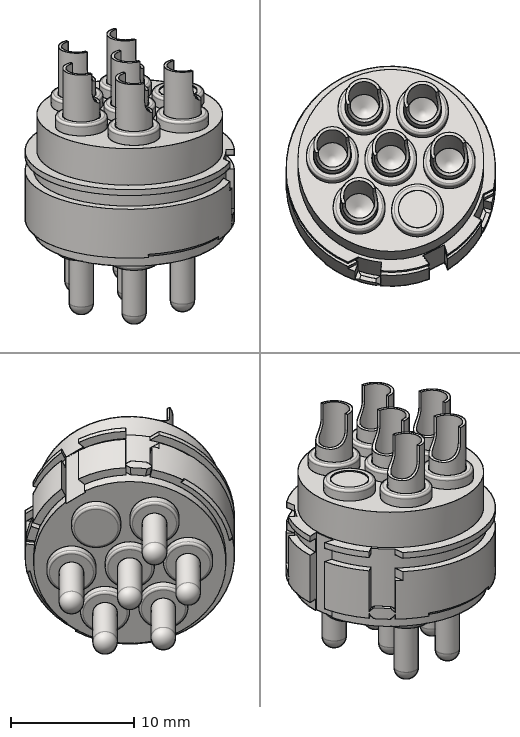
import cadquery as cq
import math

TOTAL_HEIGHT = 21.5
CUP_CUT_Z = 18.53
COLLAR_TOP_Z = 17.42
HOUSING_TOP_Z = 16.43
FLANGE_TOP_Z = 13.22
FLANGE_BOTTOM_Z = 12.7
BODY_TOP_Z = 11.5
KEYWAY_STEP_Z = 10.7
NUB_TOP_Z = 8.21
BODY_BOTTOM_Z = 7.22
CORE_BOTTOM_Z = 6.24
LOWER_COLLAR_BOTTOM_Z = 5.38

BODY_RADIUS = 17.0 / 2
CORE_RADIUS = 7.8
HOUSING_RADIUS = 7.55

CONTACT_CIRCLE_RADIUS = 4.75
CONTACT_COUNT = 6
BLANK_ANGLE = 90
COLLAR_RADIUS = 2.1
LOWER_COLLAR_RADIUS = 2.0
COLLAR_FILLET = 0.22
PIN_RADIUS = 2.0 / 2
CUP_RADIUS = 1.5
CUP_BORE_RADIUS = 1.25
CUP_BORE_FLOOR_Z = HOUSING_TOP_Z
DRILL_POINT_ANGLE = 118
COLLAR_RECESS_RADIUS = 1.55
COLLAR_RECESS_DEPTH = 0.1

NOTCH_FLOOR_Y = 7.61
NOTCH_OUTER_WIDTH = 1.63
NOTCH_FLOOR_WIDTH = 1.94

KEYWAY_ANGLE = 130.0
KEYWAY_HALF_ANGLE = 7.2
KEYWAY_LEDGE_Y = 5.3
KEYWAY_OVERLAP = 0.43
NUB_CHAMFER = 0.39
NUB_ROOT = 0.05

RELIEF_CHAMFER = 0.28
RELIEF_WIDTH = 6.88


def cylinder(radius, bottom_z, top_z, center=(0, 0)):
    height = top_z - bottom_z
    return cq.Workplane("XY", origin=(*center, bottom_z)).circle(radius).extrude(height)


def polar(radius, angle):
    turn = math.radians(angle)
    return (radius * math.cos(turn), radius * math.sin(turn))


def make_core():
    core = cylinder(CORE_RADIUS, CORE_BOTTOM_Z, FLANGE_TOP_Z)
    return core.union(cylinder(HOUSING_RADIUS, FLANGE_TOP_Z, HOUSING_TOP_Z))


def make_side_relief():
    """Triangular ring that chamfers the lower body edge, kept only near the X axis."""
    ring = (
        cq.Workplane("XZ")
        .polyline([
            (BODY_RADIUS - RELIEF_CHAMFER, BODY_BOTTOM_Z),
            (BODY_RADIUS, BODY_BOTTOM_Z),
            (BODY_RADIUS, BODY_BOTTOM_Z + RELIEF_CHAMFER),
        ])
        .close()
        .revolve(360, (0, 0), (0, 1))
    )
    sides = cq.Workplane("XY").box(3 * BODY_RADIUS, RELIEF_WIDTH, 2 * TOTAL_HEIGHT)
    return ring.intersect(sides)


def make_notch():
    """Dovetail prism, with its slanted sides carried on past the rim."""
    flare = (NOTCH_FLOOR_WIDTH - NOTCH_OUTER_WIDTH) / 2
    depth = BODY_RADIUS - NOTCH_FLOOR_Y
    floor_half = NOTCH_FLOOR_WIDTH / 2
    end_half = floor_half - 2 * flare
    end_y = NOTCH_FLOOR_Y + 2 * depth
    return (
        cq.Workplane("XY")
        .polyline([
            (-floor_half, NOTCH_FLOOR_Y),
            (floor_half, NOTCH_FLOOR_Y),
            (end_half, end_y),
            (-end_half, end_y),
        ])
        .close()
        .extrude(FLANGE_TOP_Z)
    )


def sector(inner_radius, outer_radius, bottom_z, top_z):
    """Piece of a ring, as wide as the keyway."""
    start = KEYWAY_ANGLE - KEYWAY_HALF_ANGLE
    end = KEYWAY_ANGLE + KEYWAY_HALF_ANGLE
    return (
        cq.Workplane("XY", origin=(0, 0, bottom_z))
        .moveTo(*polar(inner_radius, start))
        .lineTo(*polar(outer_radius, start))
        .threePointArc(polar(outer_radius, KEYWAY_ANGLE), polar(outer_radius, end))
        .lineTo(*polar(inner_radius, end))
        .threePointArc(polar(inner_radius, KEYWAY_ANGLE), polar(inner_radius, start))
        .close()
        .extrude(top_z - bottom_z)
    )


def make_keyway():
    """Radial slot, cut deeper than the core surface; its upper part widens to a ledge."""
    inner_radius = CORE_RADIUS - KEYWAY_OVERLAP
    outer_radius = BODY_RADIUS + KEYWAY_OVERLAP
    slot = sector(inner_radius, outer_radius, 0, TOTAL_HEIGHT)
    inner_x, inner_y = polar(inner_radius, KEYWAY_ANGLE)
    outer_x, outer_y = polar(outer_radius, KEYWAY_ANGLE + KEYWAY_HALF_ANGLE)
    far_x = -BODY_RADIUS
    widening = (
        cq.Workplane("XY", origin=(0, 0, KEYWAY_STEP_Z))
        .polyline([
            (inner_x, KEYWAY_LEDGE_Y),
            (far_x, KEYWAY_LEDGE_Y),
            (far_x, outer_y),
            (outer_x, outer_y),
            (inner_x, inner_y),
        ])
        .close()
        .extrude(TOTAL_HEIGHT)
    )
    return slot.union(widening)


def make_nub():
    """Nub with chamfered side edges above and below, and a chamfered inner top edge."""
    block = sector(CORE_RADIUS - NUB_ROOT, BODY_RADIUS, BODY_BOTTOM_Z, NUB_TOP_Z)
    side_edges = block.faces("<Z or >Z").edges("%LINE")
    inner_edge = block.faces(">Z").edges(cq.selectors.RadiusNthSelector(0))
    return side_edges.add(inner_edge).chamfer(NUB_CHAMFER)


def make_flange_and_body():
    """The two outer discs, with their reliefs and keyways, before the core joins them."""
    discs = cylinder(BODY_RADIUS, FLANGE_BOTTOM_Z, FLANGE_TOP_Z)
    discs = discs.add(cylinder(BODY_RADIUS, BODY_BOTTOM_Z, BODY_TOP_Z)).combine()
    keyway = make_keyway()
    nub = make_nub()
    discs = discs.cut(make_side_relief()).cut(keyway).cut(keyway.mirror("YZ"))
    return discs.union(nub).union(nub.mirror("YZ"))


def make_collars(center):
    upper = cylinder(COLLAR_RADIUS, HOUSING_TOP_Z, COLLAR_TOP_Z, center)
    upper = upper.faces(">Z").edges().fillet(COLLAR_FILLET)
    recess_floor_z = COLLAR_TOP_Z - COLLAR_RECESS_DEPTH
    recess = cylinder(COLLAR_RECESS_RADIUS, recess_floor_z, COLLAR_TOP_Z, center)
    lower = cylinder(LOWER_COLLAR_RADIUS, LOWER_COLLAR_BOTTOM_Z, CORE_BOTTOM_Z, center)
    lower = lower.faces("<Z").edges().fillet(COLLAR_FILLET)
    return upper.cut(recess).union(lower)


def make_pin(center):
    shank = cylinder(PIN_RADIUS, PIN_RADIUS, CORE_BOTTOM_Z, center)
    tip = cq.Workplane("XY", origin=(*center, PIN_RADIUS)).sphere(PIN_RADIUS)
    return shank.union(tip)


def make_solder_cup(center):
    """Round cup whose +Y half is cut away, down a concave arc to the cup rim."""
    cup = cylinder(CUP_RADIUS, HOUSING_TOP_Z, TOTAL_HEIGHT, center)
    arc_center_z = CUP_CUT_Z + CUP_RADIUS
    arc_reach = CUP_RADIUS * math.sqrt(0.5)
    opening = (
        cq.Workplane("YZ", origin=(center[0] - CUP_RADIUS, center[1], 0))
        .moveTo(0, TOTAL_HEIGHT)
        .lineTo(0, arc_center_z)
        .threePointArc((CUP_RADIUS - arc_reach, arc_center_z - arc_reach), (CUP_RADIUS, CUP_CUT_Z))
        .lineTo(2 * CUP_RADIUS, CUP_CUT_Z)
        .lineTo(2 * CUP_RADIUS, TOTAL_HEIGHT)
        .close()
        .extrude(2 * CUP_RADIUS)
    )
    return cup.cut(opening)


def make_cup_bore(center):
    """Drilled bore with a conical bottom."""
    point_depth = CUP_BORE_RADIUS / math.tan(math.radians(DRILL_POINT_ANGLE / 2))
    return (
        cq.Workplane("XZ", origin=(*center, 0))
        .polyline([
            (0, CUP_BORE_FLOOR_Z - point_depth),
            (CUP_BORE_RADIUS, CUP_BORE_FLOOR_Z),
            (CUP_BORE_RADIUS, TOTAL_HEIGHT),
            (0, TOTAL_HEIGHT),
        ])
        .close()
        .revolve(360, (0, 0), (0, 1))
    )


result = make_flange_and_body().union(make_core()).cut(make_notch())

blank_place = polar(CONTACT_CIRCLE_RADIUS, BLANK_ANGLE)
contact_places = [(0, 0)]
for index in range(1, CONTACT_COUNT):
    contact_places.append(polar(CONTACT_CIRCLE_RADIUS, BLANK_ANGLE + index * 360 / CONTACT_COUNT))

for place in [blank_place, *contact_places]:
    result = result.union(make_collars(place))
for place in contact_places:
    result = result.union(make_pin(place)).union(make_solder_cup(place))
    result = result.cut(make_cup_bore(place))